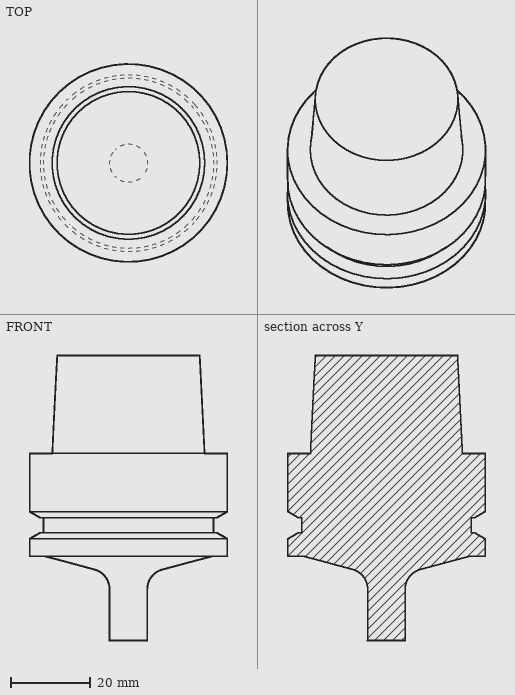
import cadquery as cq
import math

taper_height = 24.7
taper_top_diameter = 36.0
taper_ratio = 1 / 10

flange_diameter = 49.95
flange_height = 26.0

groove_floor_diameter = 42.95
groove_floor_width = 3.75
groove_center_depth = 18.125
groove_flank_angle = 30.0
groove_flank_inner_diameter = 44.6

hub_diameter = 42.0
hub_angle = 15.0

stem_diameter = 9.6
stem_fillet_radius = 5.0
overall_height = 71.9

taper_top_radius = taper_top_diameter / 2
taper_base_radius = taper_top_radius + taper_height * taper_ratio / 2
flange_radius = flange_diameter / 2
groove_floor_radius = groove_floor_diameter / 2
groove_flank_inner_radius = groove_flank_inner_diameter / 2
hub_radius = hub_diameter / 2
stem_radius = stem_diameter / 2

stem_bottom_z = taper_height - overall_height
flank_run = flange_radius - groove_flank_inner_radius
flank_rise = flank_run * math.tan(math.radians(groove_flank_angle))


def polar(center, radius, angle_degrees):
    """Point on a circle in the radius-height plane."""
    angle = math.radians(angle_degrees)
    return (center[0] + radius * math.cos(angle), center[1] + radius * math.sin(angle))


def make_body():
    """Taper, flange, conical hub and stem, with the hub blended into the stem by a tangent arc."""
    hub_normal_angle = 90 + hub_angle
    fillet_center_radius = stem_radius + stem_fillet_radius
    hub_tangent_radius = polar((fillet_center_radius, 0), stem_fillet_radius, hub_normal_angle)[0]
    hub_drop = (hub_radius - hub_tangent_radius) * math.tan(math.radians(hub_angle))
    hub_tangent_z = -flange_height - hub_drop
    fillet_center_z = hub_tangent_z - stem_fillet_radius * math.cos(math.radians(hub_angle))
    fillet_center = (fillet_center_radius, fillet_center_z)
    arc_middle = polar(fillet_center, stem_fillet_radius, (180 + hub_normal_angle) / 2)

    profile = (
        cq.Workplane("XZ")
        .moveTo(0, taper_height)
        .lineTo(taper_top_radius, taper_height)
        .lineTo(taper_base_radius, 0)
        .lineTo(flange_radius, 0)
        .lineTo(flange_radius, -flange_height)
        .lineTo(hub_radius, -flange_height)
        .lineTo(hub_tangent_radius, hub_tangent_z)
        .threePointArc(arc_middle, (stem_radius, fillet_center_z))
        .lineTo(stem_radius, stem_bottom_z)
        .lineTo(0, stem_bottom_z)
        .close()
    )
    return profile.revolve(360, (0, 0, 0), (0, 1, 0))


def make_groove():
    """Gripper groove cutter: sloped flanks leading into a square-sided floor channel."""
    floor_top_z = -groove_center_depth + groove_floor_width / 2
    floor_bottom_z = -groove_center_depth - groove_floor_width / 2
    profile = (
        cq.Workplane("XZ")
        .moveTo(groove_floor_radius, floor_top_z)
        .lineTo(groove_flank_inner_radius, floor_top_z)
        .lineTo(flange_radius, floor_top_z + flank_rise)
        .lineTo(flange_radius, floor_bottom_z - flank_rise)
        .lineTo(groove_flank_inner_radius, floor_bottom_z)
        .lineTo(groove_floor_radius, floor_bottom_z)
        .close()
    )
    return profile.revolve(360, (0, 0, 0), (0, 1, 0))


result = make_body().cut(make_groove())